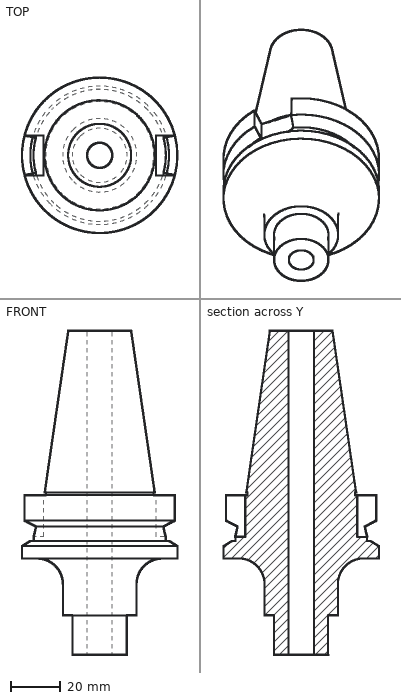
import cadquery as cq
import math

total_height = 131.1
nose_top = 16.0
fillet_start = 28.7
flange_bottom = 39.0
lower_rim_top = 44.0
groove_bottom = 46.2
groove_top = 51.9
upper_rim_bottom = 54.3
flange_top = 64.7
taper_base = 65.7

nose_radius = 11.0
collar_radius = 15.0
flange_radius = 31.5
lower_lip_radius = 28.0
groove_radius = 26.8
taper_base_radius = 22.3
neck_radius = 21.8
bore_radius = 5.05

taper_ratio = 7 / 24
taper_tip_radius = taper_base_radius - (total_height - taper_base) * taper_ratio / 2

keyway_width = 16.1
keyway_bottom = 47.9
keyway_floor = 22.7


def make_body():
    """Revolved tool holder: nose, collar, grooved flange and taper."""
    fillet_radius = flange_bottom - fillet_start
    fillet_center_radius = collar_radius + fillet_radius
    diagonal = fillet_radius * math.sqrt(0.5)
    fillet_middle = (fillet_center_radius - diagonal, fillet_start + diagonal)
    return (
        cq.Workplane("XZ")
        .moveTo(0, 0)
        .lineTo(nose_radius, 0)
        .lineTo(nose_radius, nose_top)
        .lineTo(collar_radius, nose_top)
        .lineTo(collar_radius, fillet_start)
        .threePointArc(fillet_middle, (fillet_center_radius, flange_bottom))
        .lineTo(flange_radius, flange_bottom)
        .lineTo(flange_radius, lower_rim_top)
        .lineTo(lower_lip_radius, groove_bottom)
        .lineTo(groove_radius, groove_bottom)
        .lineTo(groove_radius, groove_top)
        .lineTo(flange_radius, upper_rim_bottom)
        .lineTo(flange_radius, flange_top)
        .lineTo(neck_radius, flange_top)
        .lineTo(neck_radius, taper_base)
        .lineTo(taper_base_radius, taper_base)
        .lineTo(taper_tip_radius, total_height)
        .lineTo(0, total_height)
        .close()
        .revolve(360, (0, 0, 0), (0, 1, 0))
    )


def make_keyway(side):
    """Round-bottomed slot cutter, open at the flange top; side is -1 or +1."""
    half_width = keyway_width / 2
    arc_center = keyway_bottom + half_width
    return (
        cq.Workplane("YZ")
        .workplane(offset=side * keyway_floor)
        .moveTo(-half_width, flange_top)
        .lineTo(-half_width, arc_center)
        .threePointArc((0, keyway_bottom), (half_width, arc_center))
        .lineTo(half_width, flange_top)
        .close()
        .extrude(side * (flange_radius - keyway_floor))
    )


def make_bore():
    """Axial bore through the whole length."""
    return cq.Workplane("XY").circle(bore_radius).extrude(total_height)


result = make_body().cut(make_bore())
for side in (-1, 1):
    result = result.cut(make_keyway(side))